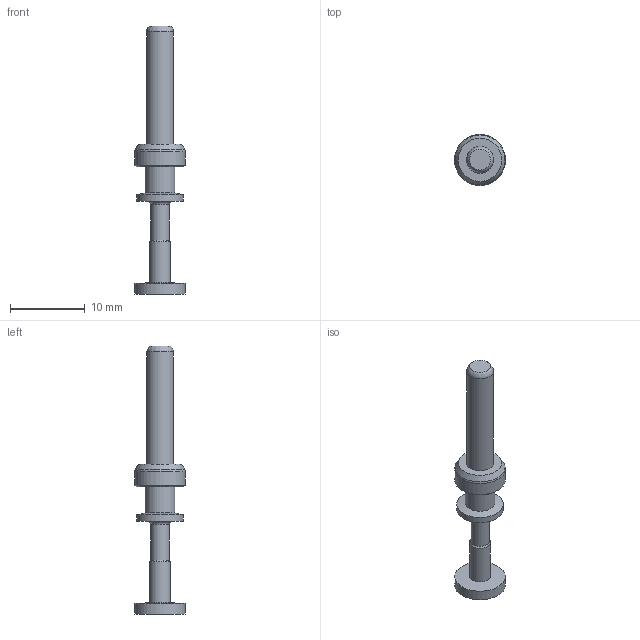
import cadquery as cq
import math


base_radius = 3.4
base_rim_height = 1.4
base_cone_rise = 0.1

stem_radius = 1.4
stem_top = 7.0
neck_radius = 1.25
neck_taper_length = 0.2

flange_radius = 3.1
flange_bottom = 12.4
flange_rim_thickness = 0.85
flange_cone_rise = 0.25
neck_fillet = 0.5
spacer_radius = 2.0

collar_radius = 3.4
collar_bottom = 17.0
collar_top = 20.0
collar_chamfer = 0.2
bevel_width = 0.5
bevel_angle = math.radians(30)
bevel_blend_radius = 0.5

pin_radius = 1.8
pin_top = 35.8
tip_length = 0.8
tip_round_radius = 1.0


def round_point(center, radius, angle):
    """Point (r, z) on a circle, with the angle measured up from the outward direction."""
    return (center[0] + radius * math.cos(angle), center[1] + radius * math.sin(angle))


def base_and_stem(profile):
    return (
        profile.lineTo(base_radius, 0)
        .lineTo(base_radius, base_rim_height)
        .lineTo(stem_radius, base_rim_height + base_cone_rise)
        .lineTo(stem_radius, stem_top)
        .lineTo(neck_radius, stem_top + neck_taper_length)
    )


def flange_and_spacer(profile):
    rim_top = flange_bottom + flange_rim_thickness
    fillet_center = (neck_radius + neck_fillet, flange_bottom - neck_fillet)
    return (
        profile.lineTo(neck_radius, fillet_center[1])
        .threePointArc(
            round_point(fillet_center, neck_fillet, math.radians(135)),
            (fillet_center[0], flange_bottom),
        )
        .lineTo(flange_radius, flange_bottom)
        .lineTo(flange_radius, rim_top)
        .lineTo(spacer_radius, rim_top + flange_cone_rise)
        .lineTo(spacer_radius, collar_bottom)
    )


def collar(profile):
    sharp_corner_height = collar_top - bevel_width / math.tan(bevel_angle)
    blend_start = sharp_corner_height - bevel_blend_radius * math.tan(bevel_angle / 2)
    blend_center = (collar_radius - bevel_blend_radius, blend_start)
    bevel_top_radius = collar_radius - bevel_width
    return (
        profile.lineTo(collar_radius - collar_chamfer, collar_bottom)
        .lineTo(collar_radius, collar_bottom + collar_chamfer)
        .lineTo(collar_radius, blend_start)
        .threePointArc(
            round_point(blend_center, bevel_blend_radius, bevel_angle / 2),
            round_point(blend_center, bevel_blend_radius, bevel_angle),
        )
        .lineTo(bevel_top_radius, collar_top)
        .lineTo(pin_radius, collar_top)
    )


def pin(profile):
    round_center = (pin_radius - tip_round_radius, pin_top - tip_length)
    end_angle = math.asin(tip_length / tip_round_radius)
    return (
        profile.lineTo(pin_radius, round_center[1])
        .threePointArc(
            round_point(round_center, tip_round_radius, end_angle / 2),
            round_point(round_center, tip_round_radius, end_angle),
        )
        .lineTo(0, pin_top)
    )


half_profile = cq.Workplane("XZ").moveTo(0, 0)
for add_section in (base_and_stem, flange_and_spacer, collar, pin):
    half_profile = add_section(half_profile)

result = half_profile.close().revolve(360, (0, 0, 0), (0, 1, 0))